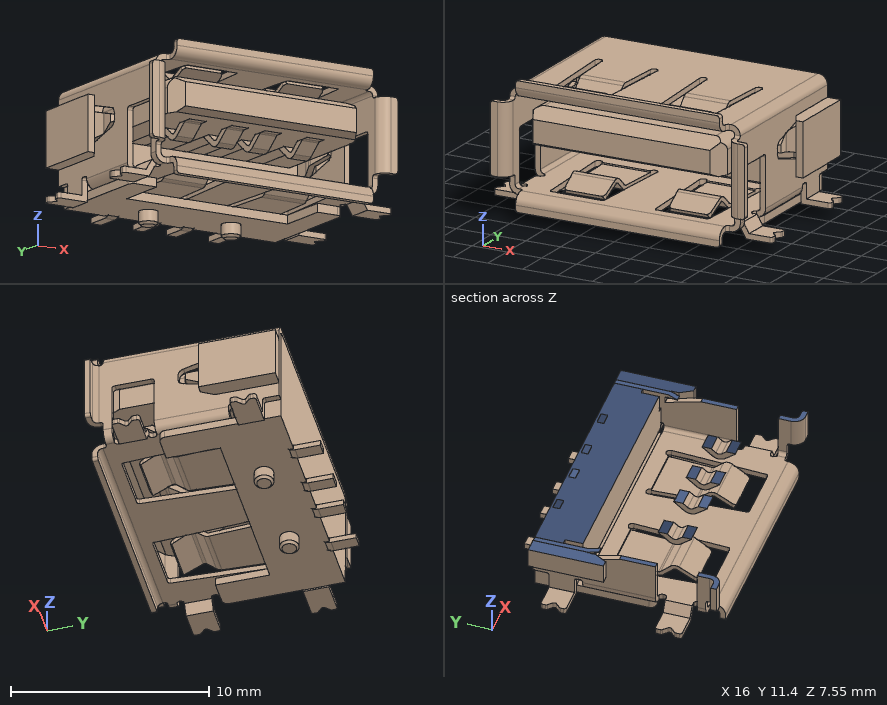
import cadquery as cq
import math


SHEET = 0.32
SHELL_WIDTH = 13.25
SHELL_HEIGHT = 5.71
SHELL_LENGTH = 10.0
BEND = 0.2
TOTAL_HEIGHT = 7.55
TOTAL_WIDTH = 16.0
TAIL_REACH = 1.4

HALF_OUT = SHELL_WIDTH / 2
HALF_IN = HALF_OUT - SHEET
TOP_IN = SHELL_HEIGHT - SHEET
MID_Z = SHELL_HEIGHT / 2
FAR = 32.0

LIP_RISE = 0.65
LIP_BEND = 0.27
LIP_CORNER = 0.16
LIP_WIDTH = 11.71
TUBE_LENGTH = 9.2
NOTCH_FILLET = 0.15
SIDE_LIP_BOTTOM = 1.05
SIDE_LIP_TOP = 5.05
SIDE_LIP_REACH = 7.31

FINGER_X = 3.0
FINGER_SHEET = 0.24
FINGER_BEND = 0.16
FINGER_ROOT_Y = -3.55
FINGER_DIP = 0.64
FINGER_FOLD_Y = -6.06
FINGER_LOW_Y = -6.77
FINGER_TIP_Y = -7.87
FINGER_TIP_DIP = 0.02
FINGER_END_Y = -8.0
FINGER_ROOT_HALF = 1.4
FINGER_END_HALF = 1.17
FINGER_CORNER = 0.24
SLOT_ROOT_HALF = 1.8
SLOT_FRONT_HALF = 1.54
SLOT_FRONT_Y = -8.78
SLOT_CORNER = 0.13

WINDOW_REAR_Y = -6.53
WINDOW_FRONT_Y = -8.74
WINDOW_TOP = 3.44
WINDOW_CORNER = 0.16
SLIT_DEPTH_X = 5.97
SLIT_ROUNDING = 0.45

FOOT_TOP = -0.24
FRONT_FOOT_REAR_Y = -6.95
FRONT_FOOT_FRONT_Y = -8.38
FRONT_FOOT_FOLD_X = 6.35
FRONT_FOOT_TOE_X = 6.69
REAR_FOOT_REAR_Y = -0.86
REAR_FOOT_FRONT_Y = -2.22
FOOT_CORNER = 0.13
FOOT_NOTCH_DEPTH = 0.35
FOOT_NOTCH_RADIUS = 0.13

BOTTOM_REAR_Y = -2.65
REAR_CUT_TOP = 0.67
REAR_CUT_CORNER = 0.13
FOOT_OVERLAP = 0.16

DETENT_Z = 3.22
DETENT_ROOT_Y = -2.72
DETENT_FOLD_Y = -2.88
DETENT_DEEP_Y = -3.73
DETENT_DEPTH = 0.35
DETENT_BEND = 0.05
DETENT_TIP_Y = -5.0
DETENT_ROOT_HALF = 0.83
DETENT_TIP_HALF = 0.2
DETENT_TIP_CORNER = 0.13
DETENT_HOLE_TIP_Y = -5.28
DETENT_HOLE_ROOT_HALF = 1.15
DETENT_HOLE_TIP_HALF = 0.43
DETENT_HOLE_CORNER = 0.38

BLOCK_FRONT_Y = -2.5
DEEP_FRONT_Y = REAR_FOOT_FRONT_Y
BASE_FRONT_Y = -6.38
BASE_DEPTH = 0.46
BASE_CORNER = 0.32
TONGUE_WIDTH = 11.14
TONGUE_TOP = 4.77
TONGUE_BOTTOM = 2.78
TONGUE_CORNER = 0.64
TONGUE_FRONT_Y = -9.58
TONGUE_CHAMFER = 0.48
TONGUE_CHAMFER_REAR_Y = -8.62
TONGUE_NOSE_BOTTOM = 3.02
TOP_RELIEF_WIDTH = 9.66
TOP_RELIEF_DEPTH = 0.13
SIDE_RELIEF_DEPTH = 0.24
SIDE_RELIEF_BOTTOM = 1.62
SIDE_RELIEF_TOP = 4.16
RELIEF_LENGTH = 0.96

PEG_X = 2.46
PEG_Y = -1.9
PEG_RADIUS = 0.5
PEG_CHAMFER = 0.13
PEG_BOTTOM = SHELL_HEIGHT + LIP_RISE - TOTAL_HEIGHT

CONTACT_X = (-3.5, -1.0, 1.0, 3.5)
TAIL_WIDTH = 0.62
SPRING_WIDTH = 1.0
LEG_REAR_Y = -0.16
CONTACT_APEX_Y = -6.67
CONTACT_DIP = 0.82
CONTACT_SLOPE = math.radians(38.7)
CONTACT_BEND = 0.24
CONTACT_END_Y = -8.24

WING_REACH = 7.4
WING_BOTTOM = 1.54
WING_TOP = 4.53
WING_LENGTH = 4.02
WING_TIP = 0.38
WING_SLANT_Y = -3.35


def rounded_outline(plane, corners):
    """Closed outline on a plane through (x, y, radius) corners; radius 0 stays sharp."""
    stops = []
    for i, (x, y, radius) in enumerate(corners):
        if radius == 0:
            stops.append([(x, y)])
            continue
        to_last = (corners[i - 1][0] - x, corners[i - 1][1] - y)
        following = corners[(i + 1) % len(corners)]
        to_next = (following[0] - x, following[1] - y)
        last_length = math.hypot(*to_last)
        next_length = math.hypot(*to_next)
        a = (to_last[0] / last_length, to_last[1] / last_length)
        b = (to_next[0] / next_length, to_next[1] / next_length)
        half_angle = math.acos(max(-1.0, min(1.0, a[0] * b[0] + a[1] * b[1]))) / 2
        setback = radius / math.tan(half_angle)
        middle = radius / math.sin(half_angle) - radius
        bisector = (a[0] + b[0], a[1] + b[1])
        spread = math.hypot(*bisector)
        stops.append([
            (x + a[0] * setback, y + a[1] * setback),
            (x + bisector[0] / spread * middle, y + bisector[1] / spread * middle),
            (x + b[0] * setback, y + b[1] * setback),
        ])
    sketch = cq.Workplane(plane).moveTo(*stops[0][-1])
    for stop in stops[1:]:
        sketch = sketch.lineTo(*stop[0])
        if len(stop) > 1:
            sketch = sketch.threePointArc(stop[1], stop[2])
    if len(stops[0]) > 1:
        sketch = sketch.lineTo(*stops[0][0]).threePointArc(stops[0][1], stops[0][2])
    return sketch.close()


def bent_strip(plane, face, thickness, inner_radius):
    """Outline of a bent sheet whose one face runs through the given corner points.

    The sheet lies to the left of that face. Bends are concentric arcs, or sharp mitres when
    the inner radius is None.
    """
    headings = [math.atan2(q[1] - p[1], q[0] - p[0]) for p, q in zip(face, face[1:])]
    near = []
    far = []
    for i, (x, y) in enumerate(face):
        before = headings[max(i - 1, 0)]
        after = headings[min(i, len(headings) - 1)]
        turn = math.remainder(after - before, math.tau)
        normal = before + turn / 2 + math.pi / 2
        mitre = thickness / math.cos(turn / 2)
        near_radius = 0
        far_radius = 0
        if inner_radius is not None and abs(turn) > 0:
            near_radius = inner_radius + (thickness if turn > 0 else 0)
            far_radius = inner_radius + (0 if turn > 0 else thickness)
        near.append((x, y, near_radius))
        far.append((x + mitre * math.cos(normal), y + mitre * math.sin(normal), far_radius))
    return rounded_outline(plane, near + far[::-1])


def block(x_range, y_range, z_range):
    """Box between two limits along each axis."""
    size = [high - low for low, high in (x_range, y_range, z_range)]
    return cq.Workplane("XY").box(*size, centered=False).translate(
        (x_range[0], y_range[0], z_range[0])
    )


def with_mirror(body):
    """A body together with its image across the middle plane."""
    return body.union(body.mirror("YZ"))


def upside_down(body):
    """A body's image across the shell's mid height."""
    return body.mirror("XY", (0, 0, MID_Z))


def rounded_bar(half, bottom, top, radius, length):
    """Bar running forward from the rear plane with four rounded long edges."""
    bar = block((-half, half), (-length, 0), (bottom, top))
    return bar.edges("|Y").fillet(radius)


def shell_tube():
    outside = rounded_bar(HALF_OUT, 0, SHELL_HEIGHT, BEND + SHEET, TUBE_LENGTH)
    return outside.cut(rounded_bar(HALF_IN, SHEET, TOP_IN, BEND, TUBE_LENGTH))


def top_lip():
    lip_face = [
        (-TUBE_LENGTH, SHELL_HEIGHT),
        (SHEET - SHELL_LENGTH, SHELL_HEIGHT),
        (SHEET - SHELL_LENGTH, SHELL_HEIGHT + LIP_RISE),
    ]
    lip = bent_strip("YZ", lip_face, SHEET, LIP_BEND).extrude(LIP_WIDTH / 2, both=True)
    return lip.faces(">Z").edges("|Y").fillet(LIP_CORNER)


def left_lip():
    lip_face = [
        (-SIDE_LIP_REACH, -SHELL_LENGTH),
        (-HALF_IN, -SHELL_LENGTH),
        (-HALF_IN, -TUBE_LENGTH),
    ]
    lip = bent_strip("XY", lip_face, SHEET, LIP_BEND)
    lip = lip.extrude(SIDE_LIP_TOP - SIDE_LIP_BOTTOM).translate((0, 0, SIDE_LIP_BOTTOM))
    return lip.faces("<X").edges("|Y").fillet(LIP_CORNER)


def fillet_lip_notches(shell):
    """Round the inside corners where the lips leave the front edge."""
    reach = 0.02
    y_range = (-TUBE_LENGTH - reach, -TUBE_LENGTH + reach)
    for x in (-LIP_WIDTH / 2, LIP_WIDTH / 2):
        corner = cq.selectors.BoxSelector(
            (x - reach, y_range[0], -reach), (x + reach, y_range[1], SHELL_HEIGHT + reach)
        )
        shell = shell.edges("|Z").edges(corner).fillet(NOTCH_FILLET)
    for z in (SIDE_LIP_BOTTOM, SIDE_LIP_TOP):
        corner = cq.selectors.BoxSelector(
            (-HALF_OUT - reach, y_range[0], z - reach), (HALF_OUT + reach, y_range[1], z + reach)
        )
        shell = shell.edges("|X").edges(corner).fillet(NOTCH_FILLET)
    return shell


def add_lips(shell):
    shell = shell.union(top_lip()).union(upside_down(top_lip()))
    shell = shell.union(with_mirror(left_lip()))
    return fillet_lip_notches(shell)


def finger_opening():
    """Cut-out around a finger, centred on X = 0, with round slot ends at the root."""
    opening = rounded_outline("XY", [
        (-SLOT_ROOT_HALF, FINGER_ROOT_Y, 0),
        (-SLOT_FRONT_HALF, SLOT_FRONT_Y, SLOT_CORNER),
        (SLOT_FRONT_HALF, SLOT_FRONT_Y, SLOT_CORNER),
        (SLOT_ROOT_HALF, FINGER_ROOT_Y, 0),
    ]).extrude(FAR, both=True)
    slot_centre = (SLOT_ROOT_HALF + FINGER_ROOT_HALF) / 2
    slot_radius = (SLOT_ROOT_HALF - FINGER_ROOT_HALF) / 2
    ends = cq.Workplane("XY").pushPoints(
        [(-slot_centre, FINGER_ROOT_Y), (slot_centre, FINGER_ROOT_Y)]
    ).circle(slot_radius).extrude(FAR, both=True)
    return opening.union(ends)


def top_finger():
    """Finger that dips into the shell and rises again, centred on X = 0."""
    upper_face = [
        (FINGER_ROOT_Y, SHELL_HEIGHT),
        (FINGER_FOLD_Y, SHELL_HEIGHT),
        (FINGER_LOW_Y, SHELL_HEIGHT - FINGER_DIP),
        (FINGER_TIP_Y, SHELL_HEIGHT - FINGER_TIP_DIP),
    ]
    sheet = bent_strip("YZ", upper_face, FINGER_SHEET, FINGER_BEND).extrude(FAR, both=True)
    plan = rounded_outline("XY", [
        (-FINGER_ROOT_HALF, FINGER_ROOT_Y, 0),
        (-FINGER_END_HALF, FINGER_END_Y, FINGER_CORNER),
        (FINGER_END_HALF, FINGER_END_Y, FINGER_CORNER),
        (FINGER_ROOT_HALF, FINGER_ROOT_Y, 0),
    ]).extrude(FAR)
    return sheet.intersect(plan)


def add_fingers(shell):
    for x in (-FINGER_X, FINGER_X):
        shell = shell.cut(finger_opening().translate((x, 0, 0)))
        finger = top_finger().translate((x, 0, 0))
        shell = shell.union(finger).union(upside_down(finger))
    return shell


def cut_windows(shell):
    """Side windows that run down through the lower bend, with slits beside each foot."""
    window = block((-FAR, -HALF_IN + BEND), (WINDOW_FRONT_Y, WINDOW_REAR_Y), (-FAR, WINDOW_TOP))
    window = window.edges("|X").edges(">Z").fillet(WINDOW_CORNER)
    for low, high in (
        (WINDOW_FRONT_Y, FRONT_FOOT_FRONT_Y),
        (FRONT_FOOT_REAR_Y, WINDOW_REAR_Y),
    ):
        slit = block((-FAR, -SLIT_DEPTH_X), (low, high), (-FAR, MID_Z / 2))
        window = window.union(slit.edges("|Z").edges(">X").fillet(SLIT_ROUNDING * (high - low)))
    return shell.cut(with_mirror(window))


def cut_rear(shell):
    """Open the bottom at the rear and free the rear feet."""
    shell = shell.cut(block((-HALF_IN, HALF_IN), (BOTTOM_REAR_Y, FAR), (-FAR, REAR_CUT_TOP)))
    for low, high in ((BOTTOM_REAR_Y, REAR_FOOT_FRONT_Y), (REAR_FOOT_REAR_Y, FAR)):
        gap = block((-FAR, FAR), (low, high), (-FAR, REAR_CUT_TOP))
        shell = shell.cut(gap.edges("|X").edges(">Z").fillet(REAR_CUT_CORNER))
    foot_range = (REAR_FOOT_FRONT_Y, REAR_FOOT_REAR_Y)
    return shell.cut(block((-FAR, FAR), foot_range, (-FAR, REAR_CUT_TOP - FOOT_OVERLAP)))


def foot_plan(rear_y, front_y):
    """Footprint of a foot: rounded corners and a V notch with a round bottom in the toe."""
    toe = -TOTAL_WIDTH / 2
    centre = (rear_y + front_y) / 2
    return rounded_outline("XY", [
        (0, front_y, 0),
        (0, rear_y, 0),
        (toe, rear_y, FOOT_CORNER),
        (toe, centre + FOOT_NOTCH_DEPTH, FOOT_NOTCH_RADIUS),
        (toe + FOOT_NOTCH_DEPTH, centre, FOOT_NOTCH_RADIUS),
        (toe, centre - FOOT_NOTCH_DEPTH, FOOT_NOTCH_RADIUS),
        (toe, front_y, FOOT_CORNER),
    ]).extrude(FAR, both=True)


def foot(upper_face, rear_y, front_y):
    sheet = bent_strip("XZ", upper_face, SHEET, None).extrude(FAR, both=True)
    return sheet.intersect(foot_plan(rear_y, front_y))


def add_feet(shell):
    front_face = [
        (-SLIT_DEPTH_X, SHEET),
        (-FRONT_FOOT_FOLD_X, SHEET),
        (-FRONT_FOOT_TOE_X, FOOT_TOP),
        (-TOTAL_WIDTH / 2, FOOT_TOP),
    ]
    rear_face = [
        (-HALF_OUT, REAR_CUT_TOP),
        (-HALF_OUT, FOOT_TOP),
        (-TOTAL_WIDTH / 2, FOOT_TOP),
    ]
    shell = shell.union(with_mirror(foot(front_face, FRONT_FOOT_REAR_Y, FRONT_FOOT_FRONT_Y)))
    return shell.union(with_mirror(foot(rear_face, REAR_FOOT_REAR_Y, REAR_FOOT_FRONT_Y)))


def detent_plan(root_half, tip_half, tip_y, corner):
    """Tapered side outline of a detent finger or of the hole around it."""
    return rounded_outline("YZ", [
        (DETENT_ROOT_Y, DETENT_Z - root_half, 0),
        (DETENT_ROOT_Y, DETENT_Z + root_half, 0),
        (tip_y, DETENT_Z + tip_half, corner),
        (tip_y, DETENT_Z - tip_half, corner),
    ]).extrude(-FAR)


def add_detents(shell):
    hole = detent_plan(
        DETENT_HOLE_ROOT_HALF, DETENT_HOLE_TIP_HALF, DETENT_HOLE_TIP_Y, DETENT_HOLE_CORNER
    )
    inner_face = [
        (-HALF_IN, DETENT_TIP_Y),
        (-HALF_IN + DETENT_DEPTH, DETENT_DEEP_Y),
        (-HALF_IN, DETENT_FOLD_Y),
        (-HALF_IN, DETENT_ROOT_Y),
    ]
    sheet = bent_strip("XY", inner_face, SHEET, DETENT_BEND).extrude(FAR)
    finger = sheet.intersect(
        detent_plan(DETENT_ROOT_HALF, DETENT_TIP_HALF, DETENT_TIP_Y, DETENT_TIP_CORNER)
    )
    return shell.cut(with_mirror(hole)).union(with_mirror(finger))


def build_shell():
    shell = add_lips(shell_tube())
    shell = add_fingers(shell)
    shell = cut_windows(shell)
    shell = cut_rear(shell)
    shell = add_feet(shell)
    return add_detents(shell)


def build_contact(x):
    """Contact with a V-shaped spring under the tongue, a leg and a soldering tail."""
    top = TONGUE_BOTTOM + SHEET
    half_span = CONTACT_DIP / math.tan(CONTACT_SLOPE)
    upper_face = [
        (TAIL_REACH, FOOT_TOP),
        (LEG_REAR_Y, FOOT_TOP),
        (LEG_REAR_Y, top),
        (CONTACT_APEX_Y + half_span, top),
        (CONTACT_APEX_Y, top - CONTACT_DIP),
        (CONTACT_APEX_Y - half_span, top),
        (CONTACT_END_Y, top),
    ]
    profile = bent_strip("YZ", upper_face, SHEET, CONTACT_BEND)
    strip = profile.extrude(SPRING_WIDTH / 2, both=True)
    spring = block((-SPRING_WIDTH, SPRING_WIDTH), (-FAR, BLOCK_FRONT_Y), (-FAR, FAR))
    tail = block((-TAIL_WIDTH / 2, TAIL_WIDTH / 2), (BLOCK_FRONT_Y, FAR), (-FAR, FAR))
    return strip.intersect(spring.union(tail)).translate((x, 0, 0))


def tongue():
    """Tongue with rounded upper edges and a tapered nose."""
    half = TONGUE_WIDTH / 2
    bar = block((-half, half), (TONGUE_FRONT_Y, BLOCK_FRONT_Y), (TONGUE_BOTTOM, TONGUE_TOP))
    bar = bar.edges("|Y").edges(">Z").fillet(TONGUE_CORNER)
    nose_width = TONGUE_WIDTH - 2 * TONGUE_CHAMFER
    nose_height = TONGUE_TOP - TONGUE_CHAMFER - TONGUE_NOSE_BOTTOM
    nose_middle = TONGUE_NOSE_BOTTOM + nose_height / 2
    taper = (
        cq.Workplane("XZ", origin=(0, TONGUE_CHAMFER_REAR_Y, nose_middle))
        .rect(TONGUE_WIDTH, nose_height + 2 * TONGUE_CHAMFER)
        .workplane(offset=TONGUE_CHAMFER_REAR_Y - TONGUE_FRONT_Y)
        .rect(nose_width, nose_height)
        .loft()
    )
    behind = block((-half, half), (TONGUE_CHAMFER_REAR_Y, 0), (TONGUE_BOTTOM, TONGUE_TOP))
    return bar.intersect(taper.union(behind))


def housing_base():
    """Base under the shell, open below the fingers, and the deep rear part that carries it."""
    base = block((-HALF_IN, HALF_IN), (BASE_FRONT_Y, 0), (-BASE_DEPTH, 0))
    base = base.edges("|Z").edges("<Y").fillet(BASE_CORNER)
    finger_reach = FINGER_X + SLOT_ROOT_HALF
    base = base.cut(
        block((-finger_reach, finger_reach), (BASE_FRONT_Y, FINGER_ROOT_Y), (-BASE_DEPTH, 0))
    )
    deep = block((-HALF_IN, HALF_IN), (DEEP_FRONT_Y, 0), (-BASE_DEPTH, REAR_CUT_TOP))
    return base.union(deep)


def pegs():
    posts = cq.Workplane("XY", origin=(0, PEG_Y, PEG_BOTTOM)).pushPoints([(-PEG_X, 0), (PEG_X, 0)])
    posts = posts.circle(PEG_RADIUS).extrude(-PEG_BOTTOM)
    return posts.faces("<Z").chamfer(PEG_CHAMFER)


def cut_reliefs(housing):
    """Shallow pockets in the front face, at the top and at both sides."""
    y_range = (BLOCK_FRONT_Y, BLOCK_FRONT_Y + RELIEF_LENGTH)
    half = TOP_RELIEF_WIDTH / 2
    housing = housing.cut(block((-half, half), y_range, (TOP_IN - TOP_RELIEF_DEPTH, TOP_IN)))
    side = block(
        (-HALF_IN, -HALF_IN + SIDE_RELIEF_DEPTH), y_range, (SIDE_RELIEF_BOTTOM, SIDE_RELIEF_TOP)
    )
    return housing.cut(with_mirror(side))


def build_housing(contacts):
    """Housing with recesses that match the contacts."""
    housing = block((-HALF_IN, HALF_IN), (BLOCK_FRONT_Y, 0), (SHEET, TOP_IN)).edges("|Y").fillet(BEND)
    housing = housing.union(tongue()).union(housing_base()).union(pegs())
    housing = cut_reliefs(housing)
    for contact in contacts:
        housing = housing.cut(contact)
    return housing


def build_left_wing():
    plan = [
        (-HALF_OUT, 0),
        (-WING_REACH, 0),
        (-WING_REACH, -WING_LENGTH),
        (-WING_REACH + WING_TIP, -WING_LENGTH),
        (-HALF_OUT, WING_SLANT_Y),
    ]
    wing = cq.Workplane("XY").workplane(offset=WING_BOTTOM).polyline(plan).close()
    return wing.extrude(WING_TOP - WING_BOTTOM)


shell = build_shell()
contacts = [build_contact(x) for x in CONTACT_X]
housing = build_housing(contacts)
left_wing = build_left_wing()
wings = [left_wing, left_wing.mirror("YZ")]

result = cq.Compound.makeCompound(
    [*shell.vals(), *housing.vals()]
    + [contact.val() for contact in contacts]
    + [wing.val() for wing in wings]
)